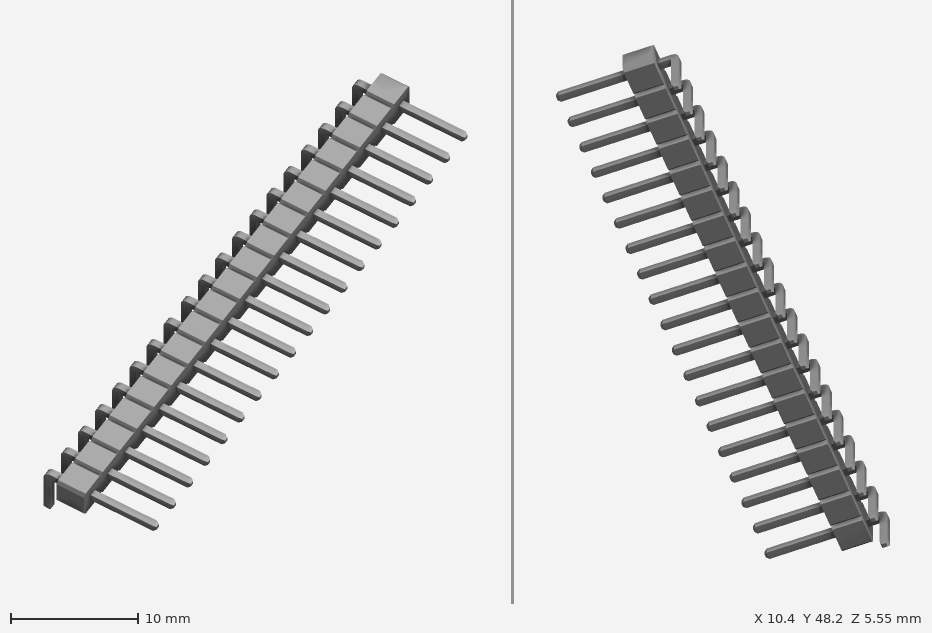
import cadquery as cq


pin_count = 19
strip_length = 48.25
pitch = strip_length / pin_count
body_width = 2.55
body_height = 2.55
notch_depth = 0.3
notch_half_width = 0.25

overall_width = 10.4
overall_height = 5.55
pin_size = 0.65
pin_bend_radius = pin_size
tip_length = 0.25
tip_inset = 0.15
tail_reach = 1.8

pin_left = -body_width / 2 - tail_reach
pin_right = pin_left + overall_width
pin_top = pin_size / 2
pin_bottom = body_height / 2 - overall_height
tip_size = pin_size - 2 * tip_inset


def make_block():
    """One housing block with its top and bottom edges bevelled at both ends of the pitch."""
    half_length = pitch / 2
    half_height = body_height / 2
    flat = half_length - notch_half_width
    shoulder = half_height - notch_depth
    return (
        cq.Workplane("YZ")
        .workplane(offset=-body_width / 2)
        .moveTo(-half_length, -shoulder)
        .lineTo(-flat, -half_height)
        .lineTo(flat, -half_height)
        .lineTo(half_length, -shoulder)
        .lineTo(half_length, shoulder)
        .lineTo(flat, half_height)
        .lineTo(-flat, half_height)
        .lineTo(-half_length, shoulder)
        .close()
        .extrude(body_width)
    )


def make_tip(plane):
    """Square tapered tip growing from the origin of the given plane."""
    return (
        cq.Workplane(plane)
        .rect(pin_size, pin_size)
        .workplane(offset=tip_length)
        .rect(tip_size, tip_size)
        .loft()
    )


def make_pin():
    """One square pin: straight contact, rounded bend and downward tail."""
    contact_end = pin_right - tip_length
    tail_end = pin_bottom + tip_length
    shank = (
        cq.Workplane("XZ")
        .moveTo(pin_left, tail_end)
        .lineTo(pin_left, pin_top - pin_bend_radius)
        .radiusArc((pin_left + pin_bend_radius, pin_top), pin_bend_radius)
        .lineTo(contact_end, pin_top)
        .lineTo(contact_end, pin_top - pin_size)
        .lineTo(pin_left + pin_size, pin_top - pin_size)
        .lineTo(pin_left + pin_size, tail_end)
        .close()
        .extrude(pin_size / 2, both=True)
    )
    contact_plane = cq.Plane(origin=(contact_end, 0, 0), xDir=(0, 1, 0), normal=(1, 0, 0))
    tail_plane = cq.Plane(
        origin=(pin_left + pin_size / 2, 0, tail_end), xDir=(1, 0, 0), normal=(0, 0, -1)
    )
    return shank.union(make_tip(contact_plane)).union(make_tip(tail_plane))


position = make_block().union(make_pin())
first_place = -(pin_count - 1) * pitch / 2
result = position.translate((0, first_place, 0))
for index in range(1, pin_count):
    place = first_place + index * pitch
    result = result.union(position.translate((0, place, 0)))
result = result.clean()